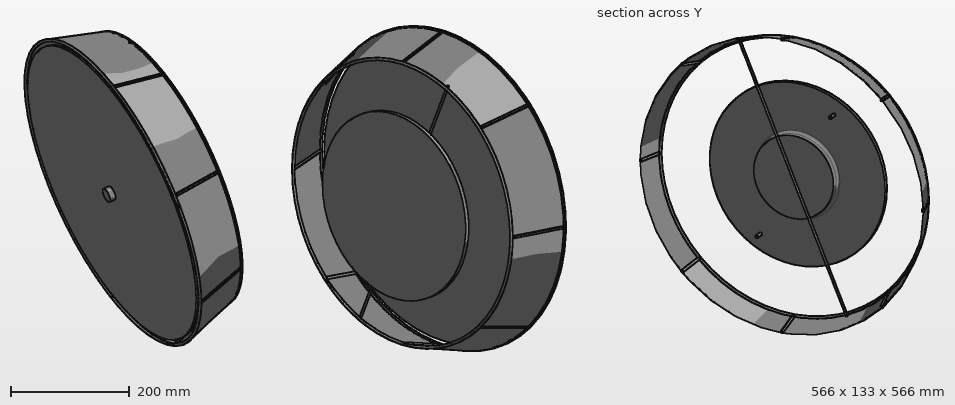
import cadquery as cq
import math


WIRE_RADIUS = 2.55
FRONT_RADIUS = 283.0
SHADE_DEPTH = 104.5
FRONT_RING_RADIUS = FRONT_RADIUS - WIRE_RADIUS
FRONT_RING_Y = WIRE_RADIUS
REAR_RING_RADIUS = 250.5
REAR_RING_Y = SHADE_DEPTH - WIRE_RADIUS
RIB_COUNT = 8

CROSSBAR_RADIUS = 2.0
CROSSBAR_Y = 98.5
CROSSBAR_ANGLE = 113.5

SKIN_OUTER_OFFSET = 2.0
SKIN_THICKNESS = 1.5
HEM = 1.0

DIFFUSER_RADIUS = 271.0
DIFFUSER_THICKNESS = 4.0
DIFFUSER_FRONT_Y = FRONT_RING_Y - DIFFUSER_THICKNESS / 2
KNOB_RADIUS = 12.5
KNOB_LENGTH = 10.0

PLATE_RADIUS = 164.5
PLATE_FRONT_Y = 115.0
PLATE_THICKNESS = 8.0
NECK_RADIUS = 74.5
NECK_FILLET = 4.5
NECK_END_Y = CROSSBAR_Y + CROSSBAR_RADIUS
PEG_RADIUS = 3.0
PEG_CIRCLE_RADIUS = 138.0
PEG_ANGLES = (60, 240)


def cylinder(radius, y_start, y_end):
    """Solid cylinder on the Y axis."""
    return cq.Workplane("XZ", origin=(0, y_start, 0)).circle(radius).extrude(y_start - y_end)


def spun(outline):
    """Solid of revolution about the Y axis from (radius, y) points."""
    return cq.Workplane("XY").polyline(outline).close().revolve(360, (0, 0, 0), (0, 1, 0))


def turned(body, angle):
    """Body turned about the Y axis from +X towards +Z."""
    return body.rotate((0, 0, 0), (0, 1, 0), -angle)


def make_ring(radius, y):
    """Round-wire ring about the Y axis."""
    return cq.Workplane(cq.Solid.makeTorus(radius, WIRE_RADIUS, cq.Vector(0, y, 0), cq.Vector(0, 1, 0)))


def make_rings():
    """Front and rear rings."""
    return make_ring(FRONT_RING_RADIUS, FRONT_RING_Y).union(make_ring(REAR_RING_RADIUS, REAR_RING_Y))


def make_ribs():
    """Separate straight wires between the centres of the two rings."""
    start = cq.Vector(FRONT_RING_RADIUS, FRONT_RING_Y, 0)
    end = cq.Vector(REAR_RING_RADIUS, REAR_RING_Y, 0)
    rib = cq.Solid.makeCylinder(WIRE_RADIUS, (end - start).Length, start, end - start)
    return [turned(cq.Workplane(rib), index * 360 / RIB_COUNT) for index in range(RIB_COUNT)]


def make_crossbar():
    """Round bar across the whole shade, trimmed flush with the outside of the skin."""
    bar = cq.Workplane("YZ", origin=(-FRONT_RADIUS, CROSSBAR_Y, 0)).circle(CROSSBAR_RADIUS)
    bar = turned(bar.extrude(2 * FRONT_RADIUS), CROSSBAR_ANGLE)
    envelope = spun([
        (0, FRONT_RING_Y),
        (FRONT_RING_RADIUS + SKIN_OUTER_OFFSET, FRONT_RING_Y),
        (REAR_RING_RADIUS + SKIN_OUTER_OFFSET, REAR_RING_Y),
        (0, REAR_RING_Y),
    ])
    return bar.intersect(envelope)


def make_skin():
    """Conical skin that fits against the rings, slotted for the ribs and drilled for the crossbar."""
    inner_offset = SKIN_OUTER_OFFSET - SKIN_THICKNESS
    skin = spun([
        (FRONT_RING_RADIUS + SKIN_OUTER_OFFSET, FRONT_RING_Y),
        (REAR_RING_RADIUS + SKIN_OUTER_OFFSET, REAR_RING_Y),
        (REAR_RING_RADIUS + inner_offset, REAR_RING_Y),
        (FRONT_RING_RADIUS + inner_offset, FRONT_RING_Y),
    ])
    skin = skin.cut(make_rings()).cut(make_crossbar())
    slot_start_y = FRONT_RING_Y + WIRE_RADIUS + HEM
    slot_end_y = REAR_RING_Y - WIRE_RADIUS - HEM
    slot_zone = cylinder(2 * FRONT_RADIUS, slot_start_y, slot_end_y)
    for rib in make_ribs():
        skin = skin.cut(rib.intersect(slot_zone))
    return skin


def make_frame(skin):
    """Rings, ribs and crossbar as one body, with the ribs notched for the hems of the skin."""
    frame = make_rings()
    for rib in make_ribs():
        frame = frame.union(rib.cut(skin))
    return frame.union(make_crossbar())


def make_diffuser():
    """Flat disc inside the front rim with a round knob at its centre."""
    disc = cylinder(DIFFUSER_RADIUS, DIFFUSER_FRONT_Y, DIFFUSER_FRONT_Y + DIFFUSER_THICKNESS)
    return disc.union(cylinder(KNOB_RADIUS, -KNOB_LENGTH, DIFFUSER_FRONT_Y))


def make_canopy():
    """Round wall plate with a flared neck and two pegs that reach into the rear of the shade."""
    plate = cylinder(PLATE_RADIUS, PLATE_FRONT_Y, PLATE_FRONT_Y + PLATE_THICKNESS)
    fillet_start_y = PLATE_FRONT_Y - NECK_FILLET
    arc_offset = NECK_FILLET * (1 - math.sqrt(0.5))
    neck = (
        cq.Workplane("XY")
        .moveTo(0, NECK_END_Y)
        .lineTo(NECK_RADIUS, NECK_END_Y)
        .lineTo(NECK_RADIUS, fillet_start_y)
        .threePointArc(
            (NECK_RADIUS + arc_offset, PLATE_FRONT_Y - arc_offset),
            (NECK_RADIUS + NECK_FILLET, PLATE_FRONT_Y),
        )
        .lineTo(0, PLATE_FRONT_Y)
        .close()
        .revolve(360, (0, 0, 0), (0, 1, 0))
    )
    canopy = plate.union(neck)
    for angle in PEG_ANGLES:
        x = PEG_CIRCLE_RADIUS * math.cos(math.radians(angle))
        z = PEG_CIRCLE_RADIUS * math.sin(math.radians(angle))
        canopy = canopy.union(cylinder(PEG_RADIUS, NECK_END_Y, PLATE_FRONT_Y).translate((x, 0, z)))
    return canopy


skin = make_skin()
frame = make_frame(skin)
diffuser = make_diffuser()
canopy = make_canopy()

result = cq.Compound.makeCompound([frame.val(), skin.val(), diffuser.val(), canopy.val()])